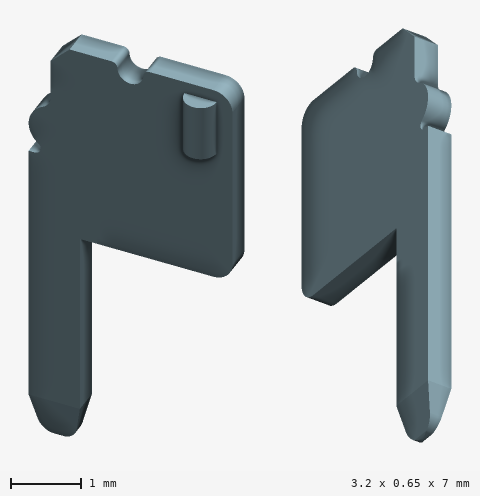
import cadquery as cq
import math

height = 7.0
width = 3.2
thickness = 0.4
head_bottom = 3.7
corner_radius = 0.3
leg_width = 0.805

taper_height = 0.7
taper_angle = 12.0
tip_radius = 0.3
tip_edge_radius = 0.05

left_wall_x = 0.34
chamfer = 0.3
leg_top = 5.005
bump_radius = 0.4
bump_center_z = 5.495
bump_blend_radius = 0.2
relief_radius = 0.1

notch_radius = 0.2
notch_lip_radius = 0.1

pip_radius = 0.25
pip_center_x = width - 0.5
pip_top = height - 0.195
pip_length = 0.9

taper_inset = taper_height * math.tan(math.radians(taper_angle))


def between(center, target, distance):
    """Point at the given distance from center, on the line towards target."""
    span = math.dist(center, target)
    return tuple(c + (t - c) * distance / span for c, t in zip(center, target))


def xz_prism(sketch):
    """Extrude an XZ outline from the back face to the front face."""
    return sketch.extrude(thickness)


def make_head():
    """Head and bump: straight walls joined by tangent arcs along the left edge."""
    bump = (bump_radius, bump_center_z)

    relief_z = leg_top + relief_radius
    relief_reach = math.sqrt((bump_radius + relief_radius) ** 2 - (bump_center_z - relief_z) ** 2)
    relief = (bump_radius - relief_reach, relief_z)
    blend_x = left_wall_x - bump_blend_radius
    blend_rise = math.sqrt((bump_radius + bump_blend_radius) ** 2 - (bump_radius - blend_x) ** 2)
    blend = (blend_x, bump_center_z + blend_rise)

    relief_bump_joint = between(bump, relief, bump_radius)
    bump_blend_joint = between(bump, blend, bump_radius)
    wall_start = (left_wall_x, blend[1])
    blend_corner = (left_wall_x, bump_blend_joint[1])

    outline = (
        cq.Workplane("XZ")
        .moveTo(0, head_bottom)
        .lineTo(0, leg_top)
        .lineTo(relief[0], leg_top)
        .threePointArc((relief[0] + relief_radius, relief_z), relief_bump_joint)
        .threePointArc((0, bump_center_z), bump_blend_joint)
        .threePointArc(between(blend, blend_corner, bump_blend_radius), wall_start)
        .lineTo(left_wall_x, height - chamfer)
        .lineTo(left_wall_x + chamfer, height)
        .lineTo(width, height)
        .lineTo(width, head_bottom)
        .close()
    )
    return xz_prism(outline).edges("|Y and >X").fillet(corner_radius)


def make_notch():
    """Round-bottomed notch whose mouth flares out through rounded lips."""
    center_x = width / 2
    mouth_half = notch_radius + notch_lip_radius
    round_z = height - notch_lip_radius
    lip_offset = notch_lip_radius * math.sqrt(0.5)
    lip_mid_x = mouth_half - lip_offset
    lip_mid_z = round_z + lip_offset
    outline = (
        cq.Workplane("XZ")
        .moveTo(center_x - mouth_half, height)
        .threePointArc((center_x - lip_mid_x, lip_mid_z), (center_x - notch_radius, round_z))
        .threePointArc((center_x, round_z - notch_radius), (center_x + notch_radius, round_z))
        .threePointArc((center_x + lip_mid_x, lip_mid_z), (center_x + mouth_half, height))
        .close()
    )
    return xz_prism(outline)


def tapered_bar(plane, bar_width):
    """Outline of a bar that narrows evenly on both sides towards its lower end."""
    return cq.Workplane(plane).polyline([
        (0, height),
        (0, taper_height),
        (taper_inset, 0),
        (bar_width - taper_inset, 0),
        (bar_width, taper_height),
        (bar_width, height),
    ]).close()


def make_leg():
    """Leg below the head, tapered in width and rounded at the tip."""
    leg = xz_prism(tapered_bar("XZ", leg_width)).edges("|Y and <Z").fillet(tip_radius)
    below_head = cq.Workplane("XY").box(leg_width, thickness, head_bottom, centered=False)
    return leg.intersect(below_head.translate((0, -thickness, 0)))


def make_thickness_taper():
    """Full-width envelope that thins the tip from both faces and rounds its lower edges."""
    envelope = tapered_bar("YZ", thickness).extrude(width).edges("|X and <Z").fillet(tip_edge_radius)
    return envelope.translate((0, -thickness, 0))


def make_pip():
    """Vertical cylinder centred on the front face, so half of it stands proud."""
    pip = cq.Workplane("XY").circle(pip_radius).extrude(pip_length)
    return pip.translate((pip_center_x, -thickness, pip_top - pip_length))


plate = make_head().cut(make_notch()).union(make_leg()).clean()
result = plate.intersect(make_thickness_taper()).union(make_pip())